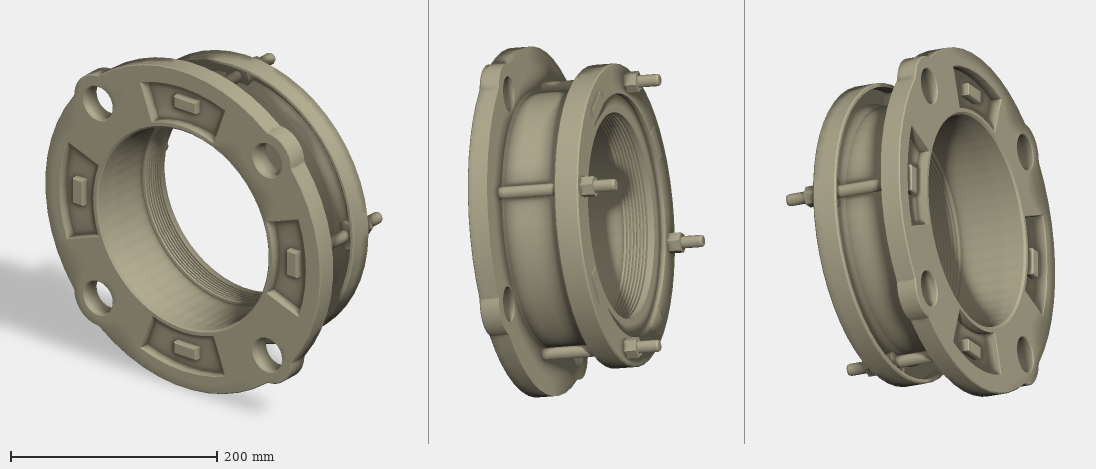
import cadquery as cq
import math


flange_diameter = 340.0
flange_thickness = 20.0
flange_edge_chamfer = 1.0
ear_radius = 30.0
ear_hole_diameter = 34.7
ear_circle_radius = 147.5
ear_hole_chamfer = 1.0
ear_root_fillet = 3.5

sleeve_diameter = 249.0
sleeve_foot_chamfer = 2.0
bore_diameter = 209.0
bore_mouth_chamfer = 2.0

ring_diameter = 295.0
ring_front = 80.5
ring_thickness = 24.5
ring_edge_chamfer = 1.5
recess_diameter = 287.0
recess_depth = 13.5
boss_diameter = 28.2
boss_setback = 5.0
hub_floor_diameter = 258.5
ring_rear = ring_front + ring_thickness

seal_diameter = 201.0
groove_diameter = 205.0
seal_front = 68.7
seal_rear = 99.5
rear_opening_diameter = 237.0
groove_count = 7
groove_width = 2.0
groove_pitch = 3.5
first_groove = seal_front + 2.0

pad_length = 34.0
pad_width = 13.5
pad_height = 1.0
pad_circle_radius = 125.5

pocket_inner_radius = 110.0
pocket_outer_radius = 151.3
pocket_half_angle = 20.0
pocket_depth = 11.0
pocket_mouth_chamfer = 0.7

bolt_count = 4
bolt_circle_radius = 132.0
shank_diameter = 12.0
shank_tip_diameter = 10.2
shank_tip_length = 2.0
shank_end = 139.0
head_length = 27.0
head_width = 12.2
head_height = 8.0
head_chamfer = 1.0
nut_flats = 18.0
nut_height = 12.5

quarter_turns = [index * 360 / bolt_count for index in range(bolt_count)]
diagonals = [angle + 45 for angle in quarter_turns]


def disc(diameter, start, length):
    """Cylinder on the Y axis, from Y = start to Y = start + length."""
    return cq.Workplane("XZ", origin=(0, start, 0)).circle(diameter / 2).extrude(-length)


def cone(start_diameter, end_diameter, start, length):
    """Truncated cone on the Y axis."""
    profile = [
        (0, start),
        (start_diameter / 2, start),
        (end_diameter / 2, start + length),
        (0, start + length),
    ]
    return cq.Workplane("XY").polyline(profile).close().revolve(360, (0, 0, 0), (0, 1, 0))


def place(shape, radius, angle):
    """Move a shape from the Y axis out along X, then turn it about the Y axis."""
    return shape.translate((radius, 0, 0)).rotate((0, 0, 0), (0, 1, 0), angle)


def around(shape, radius, angles):
    """One compound of copies of a shape, spaced around the Y axis."""
    return cq.Workplane(cq.Compound.makeCompound([place(shape, radius, angle).val() for angle in angles]))


def is_pocket_side_or_outer_arc(edge):
    """True for the straight sides and the outer arc of a pocket mouth."""
    if edge.geomType() == "LINE":
        return True
    return edge.geomType() == "CIRCLE" and math.isclose(edge.radius(), pocket_outer_radius)


def make_flange():
    flange = disc(flange_diameter, 0, flange_thickness)
    for angle in diagonals:
        flange = flange.union(place(disc(2 * ear_radius, 0, flange_thickness), ear_circle_radius, angle))
    flange = flange.edges("|Y").fillet(ear_root_fillet)
    flange = flange.faces("<Y").chamfer(flange_edge_chamfer)
    hole = disc(ear_hole_diameter, 0, flange_thickness)
    mouth_diameter = ear_hole_diameter + 2 * ear_hole_chamfer
    hole = hole.union(cone(mouth_diameter, ear_hole_diameter, 0, ear_hole_chamfer))
    flange = flange.cut(around(hole, ear_circle_radius, diagonals))
    flange = flange.cut(around(make_pocket(), 0, quarter_turns))
    mouth_edges = flange.faces("<Y").edges().filter(is_pocket_side_or_outer_arc)
    return mouth_edges.chamfer(pocket_mouth_chamfer)


def make_pocket():
    """Ring sector, centred on the X axis."""
    half_angle = math.radians(pocket_half_angle)
    cosine = math.cos(half_angle)
    sine = math.sin(half_angle)
    return (
        cq.Workplane("XZ")
        .moveTo(pocket_inner_radius * cosine, -pocket_inner_radius * sine)
        .lineTo(pocket_outer_radius * cosine, -pocket_outer_radius * sine)
        .threePointArc(
            (pocket_outer_radius, 0),
            (pocket_outer_radius * cosine, pocket_outer_radius * sine),
        )
        .lineTo(pocket_inner_radius * cosine, pocket_inner_radius * sine)
        .threePointArc(
            (pocket_inner_radius, 0),
            (pocket_inner_radius * cosine, -pocket_inner_radius * sine),
        )
        .close()
        .extrude(-pocket_depth)
    )


def make_sleeve():
    foot_diameter = sleeve_diameter + 2 * sleeve_foot_chamfer
    sleeve = disc(sleeve_diameter, flange_thickness, ring_front - flange_thickness)
    return sleeve.union(cone(foot_diameter, sleeve_diameter, flange_thickness, sleeve_foot_chamfer))


def make_ring():
    ring = disc(ring_diameter, ring_front, ring_thickness).edges().chamfer(ring_edge_chamfer)
    hub = cone(sleeve_diameter, hub_floor_diameter, ring_front, recess_depth)
    recess = disc(recess_diameter, ring_front, recess_depth).cut(hub)
    boss = disc(boss_diameter, ring_front + boss_setback, recess_depth - boss_setback)
    recess = recess.cut(around(boss, bolt_circle_radius, quarter_turns))
    pad = cq.Workplane("XZ", origin=(0, ring_rear, 0)).rect(pad_width, pad_length).extrude(-pad_height)
    ring = ring.cut(recess)
    for angle in diagonals:
        ring = ring.union(place(pad, pad_circle_radius, angle))
    return ring


def make_bore():
    bore = disc(bore_diameter, 0, seal_front)
    bore = bore.union(cone(bore_diameter + 2 * bore_mouth_chamfer, bore_diameter, 0, bore_mouth_chamfer))
    bore = bore.union(disc(seal_diameter, 0, ring_rear))
    bore = bore.union(disc(rear_opening_diameter, seal_rear, ring_rear + pad_height - seal_rear))
    for index in range(groove_count):
        bore = bore.union(disc(groove_diameter, first_groove + index * groove_pitch, groove_width))
    return bore


def make_casting():
    casting = make_flange().union(make_sleeve()).union(make_ring())
    casting = casting.cut(make_bore())
    return casting.cut(around(disc(shank_diameter, 0, ring_rear), bolt_circle_radius, quarter_turns))


def make_bolt():
    """Bolt on the Y axis: rectangular head on the pocket floor, nut on the clamp ring."""
    head = (
        cq.Workplane("XZ", origin=(0, pocket_depth - head_height, 0))
        .rect(head_width, head_length)
        .extrude(-head_height)
        .faces("<Y")
        .chamfer(head_chamfer)
    )
    shank = disc(shank_diameter, pocket_depth, shank_end - shank_tip_length - pocket_depth)
    tip = cone(shank_diameter, shank_tip_diameter, shank_end - shank_tip_length, shank_tip_length)
    nut_corners = nut_flats / math.cos(math.pi / 6)
    nut = cq.Workplane("XZ", origin=(0, ring_rear, 0)).polygon(6, nut_corners).extrude(-nut_height)
    return head.union(shank).union(tip).union(nut)


casting = make_casting()
bolt = make_bolt()
bolts = [place(bolt, bolt_circle_radius, angle) for angle in quarter_turns]

result = cq.Compound.makeCompound([casting.val(), *[item.val() for item in bolts]])